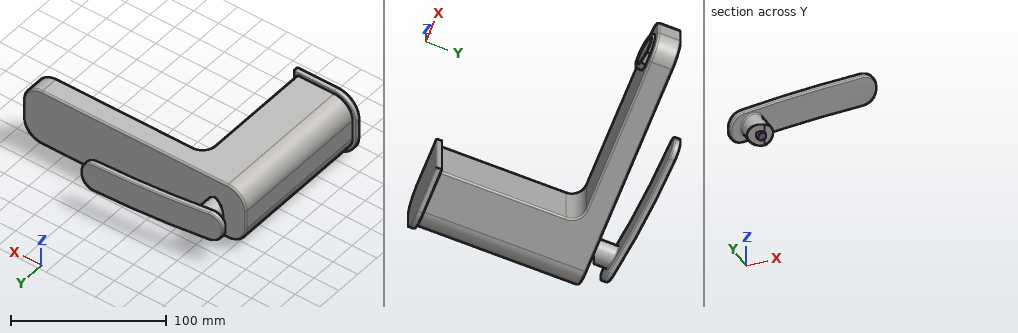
import cadquery as cq
import math

PLATE_SIZE = 50.0
PLATE_THICKNESS = 4.0
PLATE_EDGE_ROUND = 0.27

COLUMN_INSET = 2.5
COLUMN_WIDTH = PLATE_SIZE - 2 * COLUMN_INSET
COLUMN_LEFT = COLUMN_INSET
COLUMN_RIGHT = COLUMN_LEFT + COLUMN_WIDTH
HOUSING_TOP = 116.5
HOUSING_LENGTH = 182.5
ARM_THICKNESS = 15.9
ARM_BOTTOM = HOUSING_TOP - ARM_THICKNESS
CORNER_RADIUS = 15.0
PLATE_CORNER_RADIUS = CORNER_RADIUS + COLUMN_INSET
INNER_CORNER_RADIUS = 10.0
HOUSING_EDGE_ROUND = 1.3

AERATOR_DIAMETER = 24.5
AERATOR_FLATS = 23.0
AERATOR_TILT = 7.3
AERATOR_FACE_X = 165.0
AERATOR_FACE_Y = 97.6
AERATOR_EDGE_ROUND = 1.0
NOZZLE_LENGTH = 8.0
OUTLET_DIAMETER = 19.7
OUTLET_DEPTH = 0.5

LEVER_LEFT = 8.4
LEVER_RIGHT = 115.5
LEVER_LEFT_Y = 134.0
LEVER_RIGHT_Y = 142.9
LEVER_BULGE = 2.0
LEVER_THICKNESS = 4.5
LEVER_WIDTH = 22.6
LEVER_CORNER_RADIUS = 10.0
LEVER_EDGE_ROUND = 1.0

HUB_X = 24.8
HUB_DIAMETER = 16.5
HUB_BOTTOM = 117.5
HUB_TOP = 133.5
HUB_CUT_RISE = 4.4
HUB_CUT_RUN = 10.2
HUB_JOINT_ROUND = 0.7
SHAFT_DIAMETER = 6.0


def make_plate():
    """Flat square plate with two rounded corners on its -X side."""
    plate = cq.Workplane("XY").box(
        PLATE_SIZE, PLATE_THICKNESS, PLATE_SIZE, centered=(False, False, True)
    )
    plate = plate.edges("|Y and <X").fillet(PLATE_CORNER_RADIUS)
    return plate.faces("<Y or >Y").edges().fillet(PLATE_EDGE_ROUND)


def make_housing():
    """L-shaped column and arm, standing on the base plate in one piece."""
    profile = (
        cq.Workplane("XY")
        .moveTo(COLUMN_LEFT, PLATE_THICKNESS)
        .lineTo(COLUMN_RIGHT, PLATE_THICKNESS)
        .lineTo(COLUMN_RIGHT, ARM_BOTTOM)
        .lineTo(HOUSING_LENGTH, ARM_BOTTOM)
        .lineTo(HOUSING_LENGTH, HOUSING_TOP)
        .lineTo(COLUMN_LEFT, HOUSING_TOP)
        .close()
    )
    body = profile.extrude(COLUMN_WIDTH / 2, both=True)
    body = body.edges("|Y and (<X or >X)").fillet(CORNER_RADIUS)
    inner_corner = cq.selectors.NearestToPointSelector((COLUMN_RIGHT, ARM_BOTTOM, 0))
    body = body.edges("|Z").edges(inner_corner).fillet(INNER_CORNER_RADIUS)
    body = body.faces(">Y").edges().fillet(HOUSING_EDGE_ROUND)
    column_side = cq.selectors.NearestToPointSelector(
        (COLUMN_RIGHT, (PLATE_THICKNESS + ARM_BOTTOM) / 2, COLUMN_WIDTH / 2)
    )
    body = body.edges("|Y").edges(column_side).fillet(HOUSING_EDGE_ROUND)
    return body.union(make_plate())


def make_aerator():
    """Tilted round nozzle with two flats, trimmed by the underside of the arm."""
    face = cq.Plane(
        origin=(AERATOR_FACE_X, AERATOR_FACE_Y, 0),
        xDir=(0, 0, 1),
        normal=(-math.sin(math.radians(AERATOR_TILT)), math.cos(math.radians(AERATOR_TILT)), 0),
    )
    nozzle = cq.Workplane(face).circle(AERATOR_DIAMETER / 2).extrude(NOZZLE_LENGTH)
    flats = cq.Workplane(face).rect(AERATOR_FLATS, 2 * AERATOR_DIAMETER).extrude(NOZZLE_LENGTH)
    nozzle = nozzle.faces("<Y").edges().fillet(AERATOR_EDGE_ROUND).intersect(flats)
    outlet = cq.Workplane(face).circle(OUTLET_DIAMETER / 2).extrude(OUTLET_DEPTH)
    arm_space = (
        cq.Workplane("XY")
        .box(2 * AERATOR_DIAMETER, ARM_THICKNESS, 2 * AERATOR_DIAMETER)
        .translate((AERATOR_FACE_X, ARM_BOTTOM + ARM_THICKNESS / 2, 0))
    )
    return nozzle.cut(outlet).cut(arm_space)


def make_blade():
    """Arched strip with rounded ends and softened edges."""
    chord_x = LEVER_RIGHT - LEVER_LEFT
    chord_y = LEVER_RIGHT_Y - LEVER_LEFT_Y
    chord = math.hypot(chord_x, chord_y)
    radius = chord ** 2 / (8 * LEVER_BULGE) + LEVER_BULGE / 2
    center_offset = radius - LEVER_BULGE
    center_x = (LEVER_LEFT + LEVER_RIGHT) / 2 + center_offset * chord_y / chord
    center_y = (LEVER_LEFT_Y + LEVER_RIGHT_Y) / 2 - center_offset * chord_x / chord
    ring = (
        cq.Workplane("XY")
        .center(center_x, center_y)
        .circle(radius)
        .circle(radius - LEVER_THICKNESS)
        .extrude(LEVER_WIDTH / 2, both=True)
    )
    outline = (
        cq.Workplane("XZ")
        .center((LEVER_LEFT + LEVER_RIGHT) / 2, 0)
        .rect(chord_x, LEVER_WIDTH)
        .extrude(-2 * LEVER_RIGHT_Y)
        .edges("|Y")
        .fillet(LEVER_CORNER_RADIUS)
    )
    blade = ring.intersect(outline)
    return blade.faces("<Y or >Y").edges().fillet(LEVER_EDGE_ROUND)


def make_hub():
    """Round hub and thin shaft; the hub is cut on a slant that bares the shaft."""
    base = cq.Workplane("XZ", origin=(HUB_X, HUB_BOTTOM, 0))
    hub = base.circle(HUB_DIAMETER / 2).extrude(HUB_BOTTOM - HUB_TOP)
    cut_left = HUB_X - HUB_DIAMETER / 2
    slant = (
        cq.Workplane("XY")
        .moveTo(cut_left, HUB_BOTTOM)
        .lineTo(cut_left + HUB_CUT_RUN, HUB_BOTTOM)
        .lineTo(cut_left, HUB_BOTTOM + HUB_CUT_RISE)
        .close()
        .extrude(HUB_DIAMETER, both=True)
    )
    shaft = (
        cq.Workplane("XZ", origin=(HUB_X, HOUSING_TOP, 0))
        .circle(SHAFT_DIAMETER / 2)
        .extrude(HOUSING_TOP - HUB_TOP)
    )
    return hub.cut(slant).union(shaft)


def make_handle():
    """Lever blade, hub and shaft in one piece, with a small round where hub and blade join."""
    handle = make_blade().union(make_hub())
    blade_end_of_hub = cq.selectors.NearestToPointSelector((HUB_X, HUB_TOP, 0))
    hub_wall = cq.selectors.NearestToPointSelector((HUB_X, (HUB_BOTTOM + HUB_TOP) / 2, 0))
    joint = handle.faces(hub_wall).edges(blade_end_of_hub)
    return joint.fillet(HUB_JOINT_ROUND)


housing = make_housing()
aerator = make_aerator()
handle = make_handle()

result = cq.Compound.makeCompound([housing.val(), aerator.val(), handle.val()])